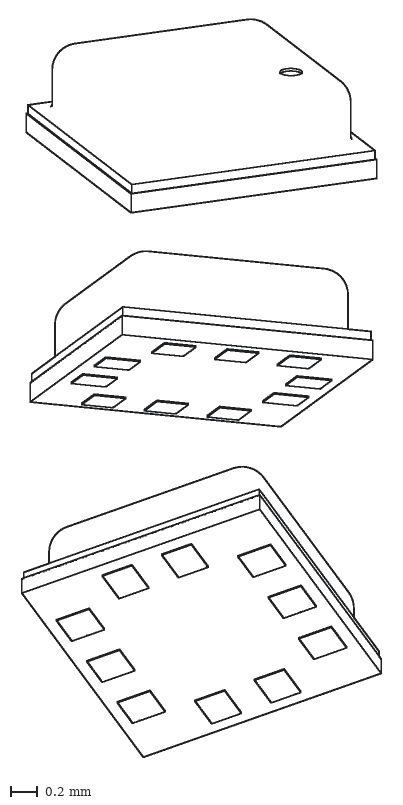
import cadquery as cq

body_side = 2.0
total_height = 0.76

pad_thickness = 0.01
pad_width = 0.25
pad_length = 0.275
pad_edge_margin = 0.1
pad_pitch = 0.5

substrate_thickness = 0.15
flange_thickness = 0.07
flange_inset = 0.01

lid_side = 1.8
lid_round = 0.2
lid_foot_round = 0.06

vent_diameter = 0.165
vent_depth = 0.02
vent_x = 0.5
vent_y = 0.515

substrate_bottom = pad_thickness
flange_bottom = substrate_bottom + substrate_thickness
lid_bottom = flange_bottom + flange_thickness
lid_height = total_height - lid_bottom


def square_block(side, height, bottom):
    """Square block centred on the Z axis, standing on the given level."""
    return cq.Workplane("XY").workplane(offset=bottom).rect(side, side).extrude(height)


def make_lid_on_flange():
    """Flange plate carrying the lid, with all lid edges rounded."""
    flange = square_block(body_side - 2 * flange_inset, flange_thickness, flange_bottom)
    lid = square_block(lid_side, lid_height, lid_bottom)
    lid = lid.edges("|Z").fillet(lid_round)
    lid = lid.faces(">Z").edges().fillet(lid_round)
    reach = lid_side / 2 + lid_foot_round / 2
    band = flange_thickness / 2
    foot_edges = cq.selectors.BoxSelector(
        (-reach, -reach, lid_bottom - band),
        (reach, reach, lid_bottom + band),
        boundingbox=True,
    )
    return flange.union(lid).edges(foot_edges).fillet(lid_foot_round)


def make_pads():
    """Ten pads: three along each X side and two along each Y side."""
    pad_centre = body_side / 2 - pad_edge_margin - pad_length / 2
    x_side_points = [(side * pad_centre, row * pad_pitch) for side in (-1, 1) for row in (-1, 0, 1)]
    y_side_points = [(col * pad_pitch / 2, side * pad_centre) for side in (-1, 1) for col in (-1, 1)]
    plane = cq.Workplane("XY")
    x_side_pads = plane.pushPoints(x_side_points).rect(pad_length, pad_width).extrude(pad_thickness)
    y_side_pads = plane.pushPoints(y_side_points).rect(pad_width, pad_length).extrude(pad_thickness)
    return x_side_pads, y_side_pads


def make_vent():
    """Cylinder that cuts the vent recess down from the lid top."""
    top = cq.Workplane("XY").workplane(offset=total_height)
    return top.center(vent_x, vent_y).circle(vent_diameter / 2).extrude(-vent_depth)


substrate = square_block(body_side, substrate_thickness, substrate_bottom)
x_side_pads, y_side_pads = make_pads()
result = (
    substrate.union(make_lid_on_flange())
    .union(x_side_pads)
    .union(y_side_pads)
    .cut(make_vent())
)